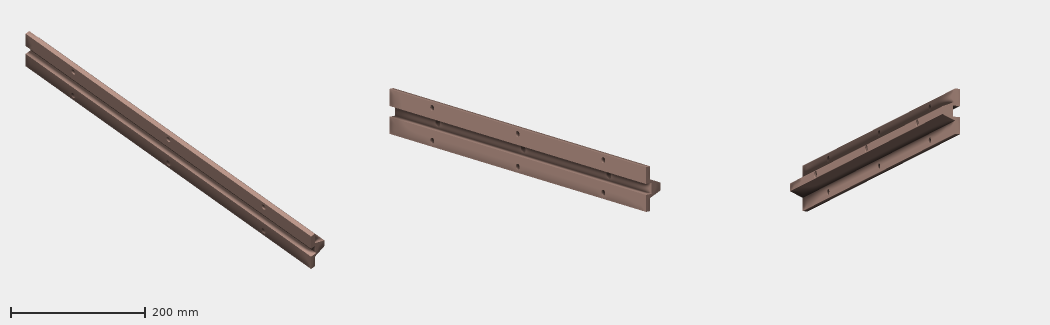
import cadquery as cq

length = 599.5
depth = 28.0
height = 69.0

flange_thickness = 8.0
slot_width = 17.0
slot_depth = 11.0
rib_root_width = 29.0
rib_tip_width = 12.0

flange_hole_diameter = 9.0
center_hole_diameter = 11.0
flange_hole_offset = 25.0
holes_per_row = 3
hole_pitch = length / holes_per_row

front_y = -depth / 2
back_y = depth / 2
flange_back_y = front_y + flange_thickness
slot_floor_y = front_y + slot_depth


def rail_body():
    """Flanged rail with a tapered rib behind and a slot along the front."""
    upper_half = [
        (slot_floor_y, slot_width / 2),
        (front_y, slot_width / 2),
        (front_y, height / 2),
        (flange_back_y, height / 2),
        (flange_back_y, rib_root_width / 2),
        (back_y, rib_tip_width / 2),
    ]
    lower_half = [(y, -z) for y, z in reversed(upper_half)]
    profile = cq.Workplane("YZ").polyline(upper_half + lower_half).close()
    return profile.extrude(length / 2, both=True)


def hole_row(z, diameter):
    """Evenly spaced holes through the full depth at height z."""
    return (
        cq.Workplane("XZ")
        .center(0, z)
        .rarray(hole_pitch, 6, holes_per_row, 1)
        .circle(diameter / 2)
        .extrude(depth, both=True)
    )


result = rail_body().cut(hole_row(0, center_hole_diameter))
for side in (-1, 1):
    result = result.cut(hole_row(side * flange_hole_offset, flange_hole_diameter))